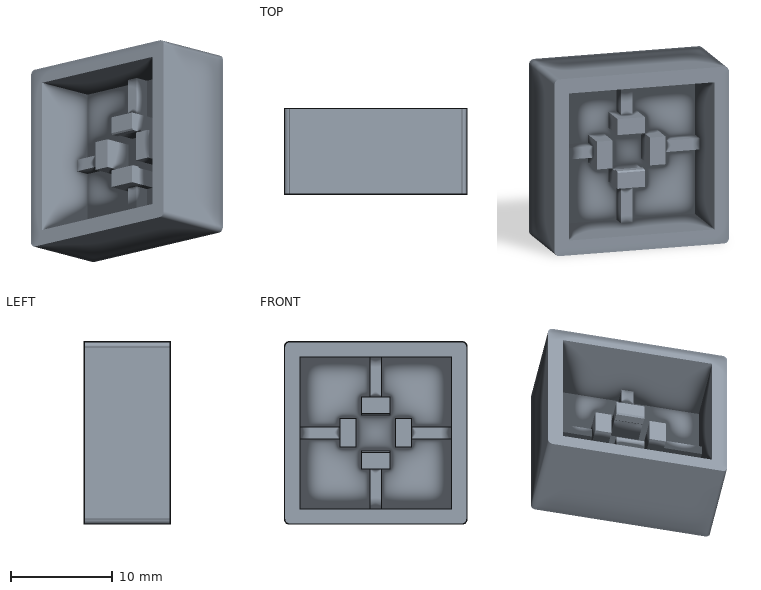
import cadquery as cq

side = 18.0
depth = 8.5
wall = 1.51
floor_thickness = 2.0
corner_radius = 0.5

tab_width = 2.83
tab_thickness = 1.62
tab_height = 3.0
tab_gap = 3.85

rib_width = 1.17
rib_height = 1.5

ridge_height = 0.15
ridge_length = 1.0

cavity = side - 2 * wall
floor_y = depth / 2 - floor_thickness
tab_front_y = floor_y - tab_height
tab_inner = tab_gap / 2
tab_outer = tab_inner + tab_thickness
overlap = 0.18


def make_shell():
    body = cq.Workplane("XY").box(side, depth, side).edges("|Y").fillet(corner_radius)
    pocket_depth = depth - floor_thickness
    pocket = cq.Workplane("XY").box(cavity, pocket_depth, cavity)
    return body.cut(pocket.translate((0, floor_y - pocket_depth / 2, 0)))


def floor_block(width, height, z_start, z_end):
    """Block on the floor, centred on X and spanning z_start to z_end."""
    block = cq.Workplane("XY").box(width, height + overlap, z_end - z_start)
    return block.translate((0, floor_y + (overlap - height) / 2, (z_start + z_end) / 2))


def make_ridge():
    """Ridge with 45 degree flanks on the inner face of the upper tab."""
    rear_y = tab_front_y + ridge_length
    crest_z = tab_inner - ridge_height
    return (
        cq.Workplane("YZ")
        .moveTo(tab_front_y, tab_inner)
        .lineTo(tab_front_y + ridge_height, crest_z)
        .lineTo(rear_y - ridge_height, crest_z)
        .lineTo(rear_y, tab_inner)
        .lineTo(rear_y, tab_inner + overlap)
        .lineTo(tab_front_y, tab_inner + overlap)
        .close()
        .extrude(tab_width / 2, both=True)
    )


def make_clip(has_ridge):
    tab = floor_block(tab_width, tab_height, tab_inner, tab_outer)
    rib = floor_block(rib_width, rib_height, tab_outer - overlap, cavity / 2 + overlap)
    clip = tab.union(rib)
    if has_ridge:
        clip = clip.union(make_ridge())
    return clip


result = make_shell()
for angle in (0, 90, 180, 270):
    clip = make_clip(has_ridge=angle % 180 == 0)
    result = result.union(clip.rotate((0, 0, 0), (0, 1, 0), angle))